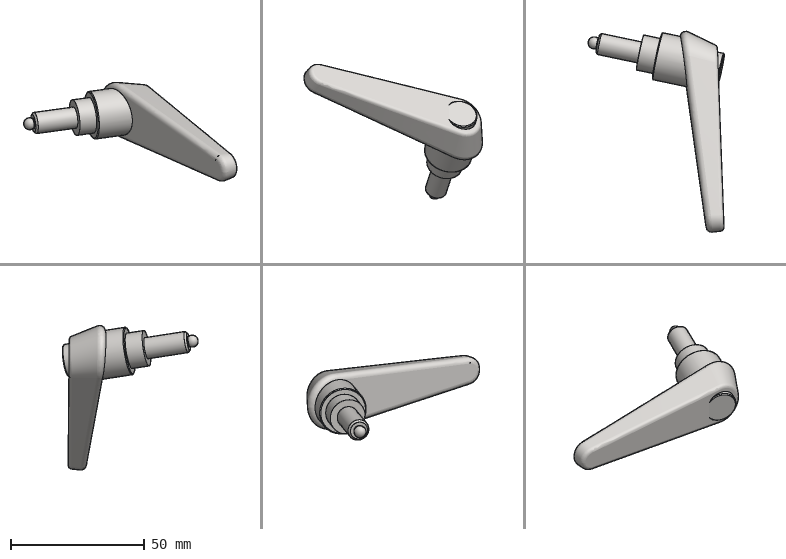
import cadquery as cq
import math


LOWER_HEIGHT = 10.1
LOWER_SLOPE = 19.8
UPPER_HEIGHT = 23.4
UPPER_SLOPE = 14.3
LOWER_FILLET = 2.05
UPPER_FILLET = 1.5

LOWER_HEEL = 12.3
LOWER_HUB_HALF_WIDTH = 11.25
LOWER_TIP_START = 58.0
LOWER_TIP_END = 62.6
LOWER_TIP_HALF_WIDTH = 5.6
UPPER_HEEL = 8.4
UPPER_HUB_HALF_WIDTH = 8.5
UPPER_TIP_START = 56.0
UPPER_TIP_END = 60.6
UPPER_TIP_HALF_WIDTH = 4.8

QUARTER_HANDLE = 4 / 3 * (math.sqrt(2) - 1)

HUB_RADIUS = 9.05
HUB_TOP = 14.3
HUB_CHAMFER = 0.4
CAP_RADIUS = 6.2
CAP_TOP = 24.55
CAP_CHAMFER = 0.4

COLLAR_RADIUS = 6.75
COLLAR_LENGTH = 6.55
STUD_RADIUS = 4.05
STUD_END = 22.8
STUD_CHAMFER = 0.7
BALL_RADIUS = 2.3
INSERT_LENGTH = 26.45
NECK_RADIUS = 2.0


def slope_normal(slope):
    """Upward direction square to a plane that climbs along +X."""
    angle = math.radians(slope)
    return cq.Vector(-math.sin(angle), math.cos(angle), 0)


def facing(slope):
    """Selector for the flat faces lying on a given slope."""
    return cq.selectors.ParallelDirSelector(slope_normal(slope))


def add_rounded_end(outline, center, depth, half_width, flank_slope, side):
    """Near-elliptical end of two Bezier quarters, leaving one flank tangentially and meeting the other."""
    reach = center + QUARTER_HANDLE * depth
    flank_half_width = half_width - flank_slope * QUARTER_HANDLE * depth
    tip_handle = QUARTER_HANDLE * half_width
    near_quarter = [
        (center, side * half_width),
        (reach, side * flank_half_width),
        (center + depth, side * tip_handle),
        (center + depth, 0),
    ]
    far_quarter = [(x, -y) for x, y in reversed(near_quarter)]
    return outline.bezier(near_quarter).bezier(far_quarter)


def arm_outline(height, slope, heel, hub_half_width, tip_start, tip_end, tip_half_width):
    """Closed outline in a plane sloping up along +X, with rounded heel and tip."""
    angle = math.radians(slope)
    along = (math.cos(angle), math.sin(angle), 0)
    plane = cq.Plane(origin=(0, height, 0), xDir=along, normal=slope_normal(slope))

    stretch = 1 / math.cos(angle)
    start = tip_start * stretch
    flank_slope = (hub_half_width - tip_half_width) / start
    outline = cq.Workplane(plane).moveTo(0, -hub_half_width).lineTo(start, -tip_half_width)
    tip_depth = tip_end * stretch - start
    outline = add_rounded_end(outline, start, tip_depth, tip_half_width, flank_slope, -1)
    outline = outline.lineTo(0, hub_half_width)
    outline = add_rounded_end(outline, 0, -heel * stretch, hub_half_width, flank_slope, 1)
    return outline.wire().val()


def cylinder(radius, bottom, top):
    """Cylinder on the Y axis between two heights."""
    return cq.Workplane("XZ", origin=(0, top, 0)).circle(radius).extrude(top - bottom)


def make_arm():
    lower = arm_outline(
        LOWER_HEIGHT, LOWER_SLOPE, LOWER_HEEL, LOWER_HUB_HALF_WIDTH,
        LOWER_TIP_START, LOWER_TIP_END, LOWER_TIP_HALF_WIDTH,
    )
    upper = arm_outline(
        UPPER_HEIGHT, UPPER_SLOPE, UPPER_HEEL, UPPER_HUB_HALF_WIDTH,
        UPPER_TIP_START, UPPER_TIP_END, UPPER_TIP_HALF_WIDTH,
    )
    arm = cq.Workplane(cq.Solid.makeLoft([lower, upper], True))
    arm = arm.faces(facing(LOWER_SLOPE)).edges().fillet(LOWER_FILLET)
    return arm.faces(facing(UPPER_SLOPE)).edges().fillet(UPPER_FILLET)


def make_lever():
    middle = (LOWER_HEIGHT + UPPER_HEIGHT) / 2
    hub = cylinder(HUB_RADIUS, 0, HUB_TOP).faces("<Y").chamfer(HUB_CHAMFER)
    cap = cylinder(CAP_RADIUS, middle, CAP_TOP).faces(">Y").chamfer(CAP_CHAMFER)
    return make_arm().union(hub).union(cap)


def make_insert():
    """Stepped pin standing against the hub face and pointing along -Y."""
    collar = cylinder(COLLAR_RADIUS, -COLLAR_LENGTH, 0)
    stud = cylinder(STUD_RADIUS, -STUD_END, -COLLAR_LENGTH).faces("<Y").chamfer(STUD_CHAMFER)
    ball_center = BALL_RADIUS - INSERT_LENGTH
    neck = cylinder(NECK_RADIUS, ball_center, -STUD_END)
    ball = cq.Workplane("XY").sphere(BALL_RADIUS).translate((0, ball_center, 0))
    return collar.union(stud).union(neck).union(ball)


lever = make_lever()
insert = make_insert()

result = cq.Compound.makeCompound([lever.val(), insert.val()])